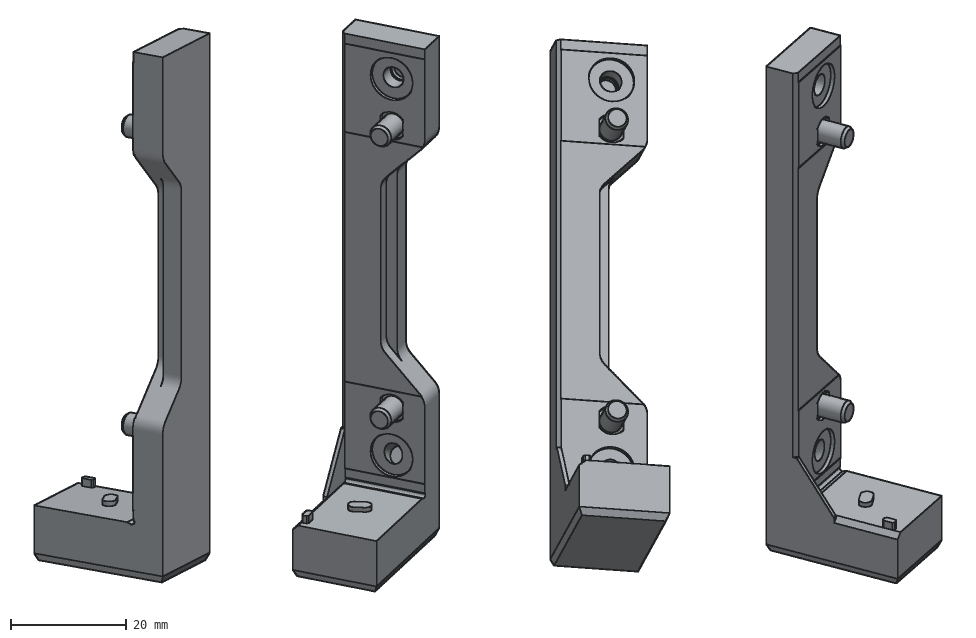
import cadquery as cq
LENGTH = 26.0
WIDTH = 16.0
HEIGHT = 96.0

FOOT_TOP = 10.1
BASE_TAPER_INSET = 0.6
BASE_TAPER_HEIGHT = 1.3
FOOT_BEVEL_WIDTH = 1.1
FOOT_BEVEL_DROP = 1.0

PLATE_THICKNESS = 6.0
PLATE_FACE = LENGTH - PLATE_THICKNESS
PLATE_EDGE_BEVEL = 0.8
MID_HEIGHT = 52.9

LOWER_PAD = (12.4, 29.1)
UPPER_PAD = (77.1, 94.1)
PAD_RAISE = 0.1

NOTCH_HALF_HEIGHT = 24.4
NOTCH_DEPTH = 6.3
FACE_NOTCH_DEPTH = 8.4
FACE_NOTCH_LAYER = 2.4
NOTCH_RADIUS = 3.0

RIB_WIDTH = 0.8
RIB_REACH = 7.4
RIB_RISE = 9.9

UNDERCUT_REACH = 1.2
UNDERCUT_RISE = 0.7
UNDERCUT_DEPTH = 0.3
UNDERCUT_RADIUS = 2 * UNDERCUT_DEPTH

BORE_Y = 6.3
HOLE_OFFSET = 36.2
SPOT_DIAMETER = 8.1
SPOT_DEPTH = 0.8
UPPER_HOLE_DIAMETER = 3.8
UPPER_HOLE_DEPTH = 2.9
PILOT_DIAMETER = 3.3
PILOT_DEPTH = 1.0
LOWER_HOLE_DIAMETER = 3.5
LOWER_HOLE_DEPTH = 3.0
LOWER_HOLE_TILT = 30.0

PIN_OFFSET = 27.2
PIN_LEVELS = (MID_HEIGHT - PIN_OFFSET, MID_HEIGHT + PIN_OFFSET)
PIN_DIAMETER = 4.0
PIN_TIP_DIAMETER = 3.3
PIN_TIP_LENGTH = 0.6
PIN_PROTRUSION = 5.1
PIN_INSERTION = 3.8
SEAT_DIAMETER = 5.3
SEAT_WIDTH = 4.3
SEAT_DEPTH = 0.8

KEY_X = 10.6
KEY_Y = 8.1
KEY_WIDTH = 2.3
KEY_LENGTH = 4.1
KEY_HEIGHT = 0.9
KEY_ANGLE = 110.0
STOP_X = 1.3
STOP_LENGTH = 2.3
STOP_WIDTH = 1.2
STOP_Y = WIDTH - FOOT_BEVEL_WIDTH - STOP_WIDTH
STOP_HEIGHT = 1.4
STOP_BEVEL = 0.3


def block(x, y, z, dx, dy, dz):
    return cq.Workplane("XY", origin=(x, y, z)).box(dx, dy, dz, centered=False)


def disc_along_x(x, z, diameter, depth):
    return cq.Workplane("YZ", origin=(x, BORE_Y, z)).circle(diameter / 2).extrude(depth)


def make_foot():
    foot = block(0, 0, BASE_TAPER_HEIGHT, LENGTH, WIDTH, FOOT_TOP - BASE_TAPER_HEIGHT)
    base = (
        cq.Workplane("XY", origin=(LENGTH / 2, WIDTH / 2, 0))
        .rect(LENGTH - 2 * BASE_TAPER_INSET, WIDTH - 2 * BASE_TAPER_INSET)
        .workplane(offset=BASE_TAPER_HEIGHT)
        .rect(LENGTH, WIDTH)
        .loft()
    )
    bevel_outline = [
        (WIDTH - FOOT_BEVEL_WIDTH, FOOT_TOP),
        (WIDTH, FOOT_TOP),
        (WIDTH, FOOT_TOP - FOOT_BEVEL_DROP),
    ]
    bevel = cq.Workplane("YZ").polyline(bevel_outline).close().extrude(PLATE_FACE)
    return foot.union(base).cut(bevel)


def notch(depth, thickness):
    """Trapezoid with 45 degree ends, opening on the -Y side and starting at the plate face."""
    low = MID_HEIGHT - NOTCH_HALF_HEIGHT
    high = MID_HEIGHT + NOTCH_HALF_HEIGHT
    outline = [(0, low), (depth, low + depth), (depth, high - depth), (0, high)]
    cutter = cq.Workplane("YZ", origin=(PLATE_FACE, 0, 0)).polyline(outline).close().extrude(thickness)
    return cutter.edges("|X and >Y").fillet(NOTCH_RADIUS)


def make_plate():
    plate = block(PLATE_FACE, 0, BASE_TAPER_HEIGHT, PLATE_THICKNESS, WIDTH, HEIGHT - BASE_TAPER_HEIGHT)
    plate = plate.edges("<X and >Y").chamfer(PLATE_EDGE_BEVEL)
    plate = plate.cut(notch(NOTCH_DEPTH, PLATE_THICKNESS))
    plate = plate.cut(notch(FACE_NOTCH_DEPTH, FACE_NOTCH_LAYER))
    middle = PLATE_FACE + PLATE_THICKNESS / 2
    for z in (MID_HEIGHT - NOTCH_HALF_HEIGHT, MID_HEIGHT + NOTCH_HALF_HEIGHT):
        shoulder = cq.selectors.NearestToPointSelector((middle, 0, z))
        plate = plate.edges(shoulder).fillet(NOTCH_RADIUS)
    return plate


def relieve_around_pads(body):
    lower_bottom, lower_top = LOWER_PAD
    upper_bottom, upper_top = UPPER_PAD
    for low, high in ((FOOT_TOP, lower_bottom), (lower_top, upper_bottom), (upper_top, HEIGHT)):
        body = body.cut(block(PLATE_FACE, 0, low, PAD_RAISE, WIDTH, high - low))
    return body


def make_rib():
    toe = PLATE_FACE - RIB_REACH
    root = PLATE_FACE + PLATE_EDGE_BEVEL
    bottom = FOOT_TOP - FOOT_BEVEL_DROP
    top = FOOT_TOP + RIB_RISE
    outline = [(toe, bottom), (toe, FOOT_TOP), (PLATE_FACE, top), (root, top), (root, bottom)]
    return cq.Workplane("XZ", origin=(0, WIDTH, 0)).polyline(outline).close().extrude(RIB_WIDTH)


def make_undercut():
    """Groove sloping down from the foot top and rounding up into the plate face."""
    outline = (
        cq.Workplane("XZ", origin=(0, WIDTH - RIB_WIDTH, 0))
        .moveTo(PLATE_FACE - UNDERCUT_REACH, FOOT_TOP)
        .lineTo(PLATE_FACE - UNDERCUT_DEPTH, FOOT_TOP - UNDERCUT_DEPTH)
        .radiusArc((PLATE_FACE + UNDERCUT_DEPTH, FOOT_TOP + UNDERCUT_DEPTH), -UNDERCUT_RADIUS)
        .lineTo(PLATE_FACE, FOOT_TOP + UNDERCUT_RISE)
        .lineTo(PLATE_FACE - UNDERCUT_DEPTH, FOOT_TOP + UNDERCUT_DEPTH)
        .close()
    )
    return outline.extrude(WIDTH - RIB_WIDTH)


def spot_face(z):
    return disc_along_x(PLATE_FACE, z, SPOT_DIAMETER, SPOT_DEPTH)


def upper_hole():
    z = MID_HEIGHT + HOLE_OFFSET
    bore_depth = SPOT_DEPTH + UPPER_HOLE_DEPTH
    bore = disc_along_x(PLATE_FACE, z, UPPER_HOLE_DIAMETER, bore_depth)
    pilot = disc_along_x(PLATE_FACE, z, PILOT_DIAMETER, bore_depth + PILOT_DEPTH)
    return spot_face(z).union(bore).union(pilot)


def lower_hole():
    """Flat-ended bore that slopes down into the plate from the floor of its spot face."""
    z = MID_HEIGHT - HOLE_OFFSET
    spot_floor = PLATE_FACE + SPOT_DEPTH
    bore = disc_along_x(spot_floor - LOWER_HOLE_DEPTH, z, LOWER_HOLE_DIAMETER, 2 * LOWER_HOLE_DEPTH)
    bore = bore.rotate((spot_floor, 0, z), (spot_floor, 1, z), LOWER_HOLE_TILT)
    behind_floor = block(spot_floor, 0, 0, PLATE_THICKNESS, WIDTH, HEIGHT)
    return bore.intersect(behind_floor).union(spot_face(z))


def pin_seat(z):
    """Shallow round recess with two flats, then a snug socket for the pin."""
    recess = disc_along_x(PLATE_FACE, z, SEAT_DIAMETER, SEAT_DEPTH)
    flats = cq.Workplane("YZ", origin=(PLATE_FACE, BORE_Y, z)).rect(SEAT_WIDTH, SEAT_DIAMETER)
    socket = disc_along_x(PLATE_FACE, z, PIN_DIAMETER, PIN_INSERTION)
    return recess.intersect(flats.extrude(SEAT_DEPTH)).union(socket)


def make_key():
    plane = cq.Workplane("XY", origin=(KEY_X, KEY_Y, FOOT_TOP))
    return plane.slot2D(KEY_LENGTH, KEY_WIDTH, KEY_ANGLE).extrude(KEY_HEIGHT)


def make_stop():
    stop = block(STOP_X, STOP_Y, FOOT_TOP, STOP_LENGTH, STOP_WIDTH, STOP_HEIGHT)
    return stop.edges("|Z").chamfer(STOP_BEVEL)


def make_bracket():
    body = relieve_around_pads(make_plate().union(make_foot()))
    body = body.union(make_rib()).cut(make_undercut())
    body = body.cut(upper_hole()).cut(lower_hole())
    for z in PIN_LEVELS:
        body = body.cut(pin_seat(z))
    return body.union(make_key()).union(make_stop())


def make_pin(z):
    pin = disc_along_x(PLATE_FACE - PIN_PROTRUSION, z, PIN_DIAMETER, PIN_PROTRUSION + PIN_INSERTION)
    tip_inset = (PIN_DIAMETER - PIN_TIP_DIAMETER) / 2
    return pin.faces("<X").chamfer(PIN_TIP_LENGTH, tip_inset)


bracket = make_bracket()
pins = [make_pin(z).val() for z in PIN_LEVELS]

result = cq.Compound.makeCompound([bracket.val(), *pins])